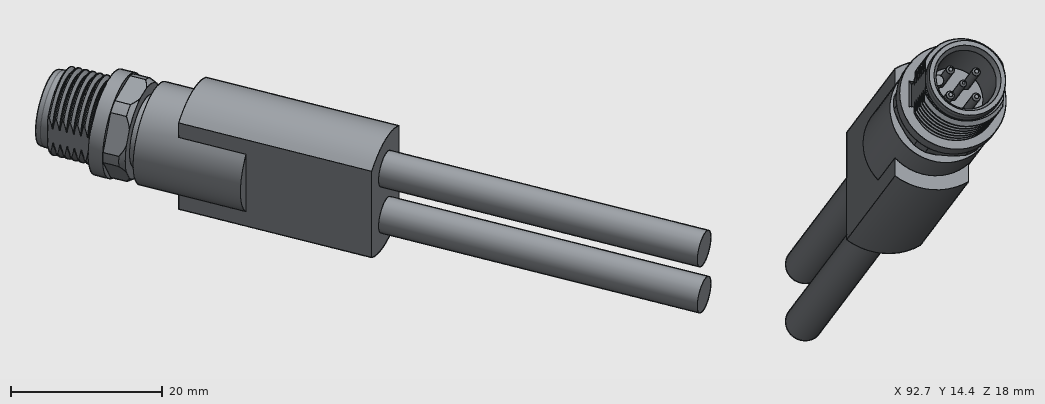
import cadquery as cq
import math


thread_start = 1.8
thread_end = 8.25
flange_end = 10.3
nut_end = 13.3
body_start = 14.6
block_start = 20.2
body_end = 29.8
block_end = 47.6
cable_end = 92.7

lip_radius = 5.3
lip_face_radius = 5.2
lip_taper_length = 0.7
thread_radius = 6.0
thread_turns = 6.5
thread_pitch = (thread_end - thread_start) / thread_turns
thread_depth = 0.6
groove_overshoot = 0.1
groove_half_opening = 0.5
groove_half_root = 0.06
thread_flat_offset = 5.3
blank_margin = 3 * thread_pitch
flange_radius = 7.2
notch_width = 3.5
notch_outer_offset = 5.9
notch_depth = 1.4
hex_across_flats = 13.0
hex_corner_radius = 7.0
hex_chamfer_length = 0.7
hex_chamfer_drop = 0.5
bore_radius = 4.1
mouth_radius = 4.5
mouth_chamfer_length = 0.7

neck_radius = 5.0
body_radius = 7.0
block_radius = 9.0
block_thickness = 10.0
socket_floor = 8.3
contact_tip = 2.1
contact_radius = 0.6
center_contact_radius = 0.5
contact_tip_taper = 0.3
contact_offset = 1.8
key_tip = 1.9
key_radius = 0.7
key_offset = 3.5
cable_radius = 2.5
cable_offset = 4.0


def rod(radius, start, end, y=0.0, z=0.0):
    """Cylinder along X between two stations."""
    return cq.Workplane("YZ", origin=(start, y, z)).circle(radius).extrude(end - start)


def cone(start_radius, end_radius, start, end):
    """Frustum on the connector axis between two stations."""
    outline = [(start, 0), (end, 0), (end, end_radius), (start, start_radius)]
    return cq.Workplane("XY").polyline(outline).close().revolve(360, (0, 0, 0), (1, 0, 0))


def make_thread_groove():
    """Helical V groove that runs out past both ends of the threaded length."""
    helix_start = thread_start - thread_pitch
    helix_length = thread_end - thread_start + 2 * thread_pitch
    helix = cq.Wire.makeHelix(thread_pitch, helix_length, thread_radius)
    outer = thread_radius + groove_overshoot
    root = thread_radius - thread_depth
    corners = [
        (outer, -groove_half_opening),
        (outer, groove_half_opening),
        (root, groove_half_root),
        (root, -groove_half_root),
    ]
    groove = cq.Workplane("XZ").polyline(corners).close().sweep(cq.Workplane(helix), isFrenet=True)
    return groove.rotate((0, 0, 0), (0, 1, 0), 90).translate((helix_start, 0, 0))


def make_threaded_barrel():
    """Externally threaded sleeve with a flat on each Y side."""
    blank = rod(thread_radius, thread_start - blank_margin, thread_end + blank_margin)
    length = thread_end - thread_start
    trim = cq.Workplane("XY").box(length, 2 * thread_flat_offset, 4 * thread_radius)
    return blank.cut(make_thread_groove()).intersect(trim.translate((thread_start + length / 2, 0, 0)))


def make_flange():
    """Round flange with a sloping notch in its front face, above the +Y thread flat."""
    flange = rod(flange_radius, thread_end, flange_end)
    notch_corners = [
        (thread_end, thread_flat_offset),
        (thread_end + notch_depth, thread_flat_offset),
        (thread_end, notch_outer_offset),
    ]
    notch = cq.Workplane("XY").polyline(notch_corners).close().extrude(notch_width / 2, both=True)
    return flange.cut(notch)


def make_hex():
    """Wrench hexagon with flats toward +Z and -Z, turned corners and a chamfered rear edge."""
    across_corners = hex_across_flats / math.cos(math.pi / 6)
    hexagon = cq.Workplane("YZ", origin=(flange_end, 0, 0)).polygon(6, across_corners)
    hexagon = hexagon.extrude(nut_end - flange_end)
    chamfer_start = nut_end - hex_chamfer_length
    turned = rod(hex_corner_radius, flange_end, chamfer_start).union(
        cone(hex_corner_radius, hex_corner_radius - hex_chamfer_drop, chamfer_start, nut_end)
    )
    return hexagon.intersect(turned)


def make_nut():
    """Plug shell: tapered lip, thread, flange and hexagon around one through bore."""
    nut = cone(lip_face_radius, lip_radius, 0, lip_taper_length)
    nut = nut.union(rod(lip_radius, lip_taper_length, thread_start))
    nut = nut.union(make_threaded_barrel())
    nut = nut.union(make_flange())
    nut = nut.union(make_hex())
    nut = nut.cut(rod(bore_radius, 0, nut_end))
    return nut.cut(cone(mouth_radius, bore_radius, 0, mouth_chamfer_length))


def make_contact(radius, y, z):
    """Contact pin with a chamfered tip, standing on the socket floor."""
    return rod(radius, contact_tip, socket_floor, y, z).faces("<X").chamfer(contact_tip_taper)


def make_key():
    """Round coding key on the +Y side, trimmed to the bore of the nut."""
    key = rod(key_radius, key_tip, socket_floor, key_offset)
    return key.intersect(rod(bore_radius, key_tip, socket_floor))


def make_block():
    """Flat-sided rear block with rounded top and bottom."""
    length = block_end - block_start
    slab = cq.Workplane("XY").box(length, block_thickness, 2 * block_radius)
    slab = slab.translate((block_start + length / 2, 0, 0))
    return slab.intersect(rod(block_radius, block_start, block_end))


def make_housing():
    """Insert, neck, round body, block, contacts, key and the two cables in one piece."""
    housing = rod(bore_radius, socket_floor, nut_end)
    housing = housing.union(rod(neck_radius, nut_end, body_start))
    housing = housing.union(rod(body_radius, body_start, body_end))
    housing = housing.union(make_block())
    housing = housing.union(make_contact(center_contact_radius, 0, 0))
    for y_side in (-1, 1):
        for z_side in (-1, 1):
            contact = make_contact(contact_radius, y_side * contact_offset, z_side * contact_offset)
            housing = housing.union(contact)
    housing = housing.union(make_key())
    for z_side in (-1, 1):
        housing = housing.union(rod(cable_radius, block_end, cable_end, 0, z_side * cable_offset))
    return housing


nut = make_nut()
housing = make_housing()
result = cq.Compound.makeCompound([nut.solids().val(), housing.solids().val()])